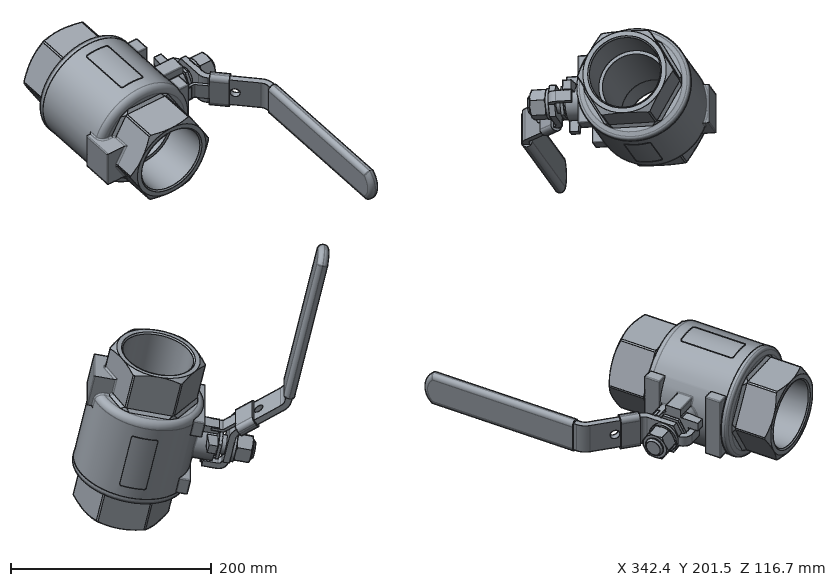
import math

import cadquery as cq


overall_length = 342.4
valve_length = 185.0
half_length = valve_length / 2
hex_flats = 85.0
hex_corner_diameter = 97.0
hex_face_diameter = 85.0
hex_chamfer_angle = 30.0
flare_length = 3.0
flare_diameter = 99.5
body_radius = 57.7
rim_radius = 116.0 / 2
body_left = -52.3
body_right = 46.9
rim_right = -44.5
rim_face_radius = 50.4
rim_fillet = 3.0
rim_fillet_start = -51.2
body_right_fillet = 7.6
bore_diameter = 65.0
socket_diameter = 72.22
socket_depth = 47.0
socket_chamfer = 1.5

overall_height = 116.74
plate_length = 60.0
plate_width = 27.0
plate_center_x = -2.5
plate_corner_radius = 2.0
plate_embedding = 1.0

pad_edge_radius = 1.0
foot_root_radius = 1.8
collar_root_radius = 1.0
root_margin = 2.0
lug_inner_x = 26.0
lug_outer_x = 43.6
lug_half_width = 35.0
lug_depth = 12.0
foot_face_y = -60.0
foot_root_y = -37.0
foot_left = 31.0
foot_right = 66.2
foot_half_width = 20.0

collar_diameter = 36.0
collar_top = 76.7
collar_root = 40.0
rib_half_width = 8.5
rib_reach = 24.6
rib_root_y = 52.0
stop_reach = 28.5
stop_inner = 5.6
stop_outer = 15.1
stop_tip_height = 8.7
stop_root_height = 11.7
keeper_left = 16.0
keeper_right = 23.5
keeper_half_width = 8.0
keeper_bottom = 54.0

seal_diameter = 25.0
seal_top = 79.2
lock_plate_flats = 30.0
lock_plate_top = 82.4
stem_diameter = 20.0
stem_top = 117.0
stem_chamfer = 2.0
washer_diameter = 31.0
washer_top = 97.5
nut_flats = 26.5
nut_top = 113.7
nut_chamfer_angle = 30.0

lever_thickness = 6.5
lever_half_width = 16.3
lever_low_y = 90.75
lever_high_y = 136.0
lever_leg_x = -22.6
lever_leg_bottom = 68.9
lever_leg_half_width = 5.6
lever_neck_x = -16.0
lever_shoulder_x = -10.2
lever_rise_start_x = 24.0
lever_rise = lever_high_y - lever_low_y
lever_rise_end_x = lever_rise_start_x + lever_rise
lever_leg_bend = 6.5
lever_low_bend = 10.0
lever_high_bend = 14.0
lever_hole_diameter = 10.0
lever_hole_y = 113.5

strip_thickness = 3.0
strip_half_width = 8.5
strip_x = 21.0
strip_bottom = 68.8
strip_bend = 3.0
sleeve_length = 20.0
sleeve_width = 38.6
sleeve_thickness = 12.6
sleeve_edge_radius = 5.3
sleeve_center_y = 102.4

grip_start_x = 78.8
grip_end_x = overall_length - half_length
grip_thickness = 11.0
grip_top_y = lever_high_y + grip_thickness / 2
grip_width = 37.4
grip_shoulder_x = 240.6
grip_edge_radius = 5.4


def stem_plane(y):
    """Plane across the stem axis at height y, with local x along X."""
    return cq.Workplane(cq.Plane((0, y, 0), (1, 0, 0), (0, 1, 0)))


def stem_disc(diameter, bottom, top):
    return stem_plane(bottom).circle(diameter / 2).extrude(top - bottom)


def box_between(x0, x1, y0, y1, z0, z1):
    return cq.Workplane("XY").box(x1 - x0, y1 - y0, z1 - z0, centered=False).translate((x0, y0, z0))


def hex_corner_size(flats):
    return flats / math.cos(math.pi / 6)


def turned(points):
    """Solid of revolution about X from (x, radius) points."""
    return cq.Workplane("XY").polyline(points).close().revolve(360, (0, 0, 0), (1, 0, 0))


def pipe_end(shoulder_x):
    """Hexagonal end built along +X, starting from the body shoulder."""
    blank = (
        cq.Workplane("YZ")
        .polygon(6, hex_corner_size(hex_flats))
        .extrude(half_length)
    )
    corner_radius = hex_corner_diameter / 2
    face_radius = hex_face_diameter / 2
    chamfer_length = (corner_radius - face_radius) * math.tan(math.radians(hex_chamfer_angle))
    envelope = turned([
        (0, 0),
        (0, corner_radius),
        (half_length - chamfer_length, corner_radius),
        (half_length, face_radius),
        (half_length, 0),
    ])
    flare_flats = hex_flats + 2 * flare_length
    flare = (
        cq.Workplane("YZ", origin=(shoulder_x, 0, 0))
        .polygon(6, hex_corner_size(flare_flats))
        .extrude(flare_length, taper=45)
    )
    flare_limit = turned([
        (shoulder_x, 0),
        (shoulder_x, flare_diameter / 2),
        (shoulder_x + flare_length, hex_corner_diameter / 2),
        (shoulder_x + flare_length, 0),
    ])
    return blank.intersect(envelope).union(flare.intersect(flare_limit))


def body():
    fillet_start = body_right - body_right_fillet
    fillet_middle = body_right_fillet * math.sqrt(0.5)
    barrel = (
        cq.Workplane("XY")
        .moveTo(body_left, 0)
        .lineTo(body_left, rim_face_radius)
        .lineTo(rim_fillet_start, rim_radius - rim_fillet)
        .threePointArc(
            (rim_fillet_start + rim_fillet - rim_fillet * math.sqrt(0.5),
             rim_radius - rim_fillet + rim_fillet * math.sqrt(0.5)),
            (rim_fillet_start + rim_fillet, rim_radius),
        )
        .lineTo(rim_right, rim_radius)
        .lineTo(rim_right, body_radius)
        .lineTo(fillet_start, body_radius)
        .threePointArc(
            (fillet_start + fillet_middle, body_radius - body_right_fillet + fillet_middle),
            (body_right, body_radius - body_right_fillet),
        )
        .lineTo(body_right, 0)
        .close()
        .revolve(360, (0, 0, 0), (1, 0, 0))
    )
    left_end = pipe_end(-body_left).mirror("YZ")
    return barrel.union(pipe_end(body_right)).union(left_end)


def name_plates():
    blank = (
        cq.Workplane("XY")
        .center(plate_center_x, 0)
        .rect(plate_length, plate_width)
        .extrude(overall_height, both=True)
        .edges("|Z")
        .fillet(plate_corner_radius)
    )
    ring = (
        cq.Workplane("YZ")
        .circle(overall_height / 2)
        .circle(body_radius - plate_embedding)
        .extrude(half_length, both=True)
    )
    return blank.intersect(ring)


def mounting_lugs():
    lug = box_between(
        lug_inner_x, lug_outer_x, rim_radius - lug_depth, rim_radius, -lug_half_width, lug_half_width
    )
    lug = lug.edges("<Z or >Z or |Z").fillet(pad_edge_radius)
    return lug.union(lug.mirror("YZ"))


def round_roots(solid, low_corner, high_corner, radius):
    """Fillet the edges that lie wholly inside a box around a pad's root."""
    selector = cq.selectors.BoxSelector(low_corner, high_corner, boundingbox=True)
    return solid.edges(selector).fillet(radius)


def foot():
    block = box_between(
        foot_left, foot_right, foot_face_y, foot_root_y, -foot_half_width, foot_half_width
    )
    return block.faces("<Y").edges().fillet(pad_edge_radius)


def add_foot(solid):
    face_clearance = 1.5 * pad_edge_radius
    return round_roots(
        solid.union(foot()),
        (foot_left - root_margin, foot_face_y + face_clearance, -foot_half_width - root_margin),
        (foot_right + root_margin, foot_root_y + root_margin, foot_half_width + root_margin),
        foot_root_radius,
    )


def lever_stop():
    """Finger along -X that limits the lever leg."""
    return (
        cq.Workplane("XY", origin=(0, 0, stop_inner))
        .polyline([
            (0, collar_top),
            (-stop_reach, collar_top),
            (-stop_reach, collar_top - stop_tip_height),
            (0, collar_top - stop_root_height),
        ])
        .close()
        .extrude(stop_outer - stop_inner)
    )


def collar():
    neck = stem_disc(collar_diameter, collar_root, collar_top)
    rib = box_between(-rib_half_width, rib_half_width, rib_root_y, collar_top, 0, rib_reach)
    rib = rib.faces(">Z").edges("not >Y").fillet(pad_edge_radius)
    closed_stop = lever_stop().mirror("XY").rotate((0, 0, 0), (0, 1, 0), -90)
    keeper = box_between(
        keeper_left, keeper_right, keeper_bottom, collar_top, -keeper_half_width, keeper_half_width
    )
    return neck.union(rib).union(lever_stop()).union(closed_stop).union(keeper)


def add_collar(solid):
    return round_roots(
        solid.union(collar()),
        (-collar_diameter / 2 - root_margin, collar_root, -rib_reach - root_margin),
        (keeper_right + root_margin, rim_radius, rib_reach + root_margin),
        collar_root_radius,
    )


def nut():
    corner_size = hex_corner_size(nut_flats)
    height = nut_top - washer_top
    blank = stem_plane(washer_top).polygon(6, corner_size).extrude(height)
    chamfer_radius = (corner_size - nut_flats) / 2
    chamfer_height = chamfer_radius * math.tan(math.radians(nut_chamfer_angle))
    envelope = (
        stem_disc(corner_size, washer_top, nut_top)
        .faces("<Y or >Y")
        .chamfer(chamfer_height, chamfer_radius)
    )
    return blank.intersect(envelope)


def stem():
    shaft = stem_disc(stem_diameter, collar_top, stem_top).faces(">Y").chamfer(stem_chamfer)
    seal = stem_disc(seal_diameter, collar_top, seal_top)
    lock_plate = (
        stem_plane(seal_top)
        .polygon(6, hex_corner_size(lock_plate_flats))
        .extrude(lock_plate_top - seal_top)
    )
    washer = stem_disc(washer_diameter, lever_low_y, washer_top)
    return shaft.union(seal).union(lock_plate).union(washer).union(nut())


def toward(start, end, distance):
    """Point at the given distance from start on the line to end."""
    ratio = distance / math.dist(start, end)
    return (start[0] + ratio * (end[0] - start[0]), start[1] + ratio * (end[1] - start[1]))


def bent_strip(corners, bend_radii, thickness, half_width):
    """Flat strip following rounded corners in the XY plane; the first leg runs along Y."""
    path = cq.Workplane("XY").moveTo(*corners[0])
    for i, radius in enumerate(bend_radii, start=1):
        before, corner, after = corners[i - 1:i + 2]
        heading_in = math.atan2(corner[1] - before[1], corner[0] - before[0])
        heading_out = math.atan2(after[1] - corner[1], after[0] - corner[0])
        setback = radius * math.tan(abs(heading_out - heading_in) / 2)
        path = path.lineTo(*toward(corner, before, setback))
        path = path.tangentArcPoint(toward(corner, after, setback), relative=False)
    path = path.lineTo(*corners[-1])
    start_x, start_y = corners[0]
    section = stem_plane(start_y).center(start_x, 0).rect(thickness, 2 * half_width)
    return section.sweep(path)


def on_slope(y):
    """Point of the lever's sloping centre line at height y; the slope is 45 degrees."""
    return (lever_rise_start_x + y - lever_low_y, y)


def slope_plane(y):
    """Plane across the sloping lever, with local x along Z."""
    x_position = on_slope(y)[0]
    return cq.Workplane(cq.Plane((x_position, y, 0), (0, 0, 1), (1, 1, 0)))


def lever():
    strip = bent_strip(
        [
            (lever_leg_x, lever_leg_bottom),
            (lever_leg_x, lever_low_y),
            (lever_rise_start_x, lever_low_y),
            (lever_rise_end_x, lever_high_y),
            (grip_start_x + grip_thickness, lever_high_y),
        ],
        [lever_leg_bend, lever_low_bend, lever_high_bend],
        lever_thickness,
        lever_half_width,
    )
    leg_end = lever_leg_x - lever_thickness
    planform = (
        stem_plane(0)
        .polyline([
            (leg_end, -lever_leg_half_width),
            (lever_neck_x, -lever_leg_half_width),
            (lever_shoulder_x, -lever_half_width),
            (grip_end_x, -lever_half_width),
            (grip_end_x, lever_half_width),
            (lever_shoulder_x, lever_half_width),
            (lever_neck_x, lever_leg_half_width),
            (leg_end, lever_leg_half_width),
        ])
        .close()
        .extrude(grip_top_y)
    )
    hole_x, hole_y = on_slope(lever_hole_y)
    hole_plane = cq.Plane((hole_x, hole_y, 0), (0, 0, 1), (1, -1, 0))
    hole = cq.Workplane(hole_plane).circle(lever_hole_diameter / 2).extrude(lever_thickness, both=True)
    return strip.intersect(planform).cut(hole)


def locking_strip():
    """Thin strip lying under the sloping lever and dropping into the keeper."""
    under_lever = (lever_thickness + strip_thickness) / 2 * math.sqrt(2)
    bend_y = strip_x - under_lever - lever_rise_start_x + lever_low_y
    upper_end = (strip_x + sleeve_center_y - bend_y, sleeve_center_y)
    strip = bent_strip(
        [(strip_x, strip_bottom), (strip_x, bend_y), upper_end],
        [strip_bend],
        strip_thickness,
        strip_half_width,
    )
    sleeve = (
        slope_plane(sleeve_center_y)
        .rect(sleeve_width, sleeve_thickness)
        .extrude(sleeve_length / 2, both=True)
        .edges(cq.selectors.ParallelDirSelector(cq.Vector(1, 1, 0)))
        .fillet(sleeve_edge_radius)
    )
    return strip.union(sleeve)


def grip():
    half_width = grip_width / 2
    return (
        stem_plane(lever_high_y - grip_thickness / 2)
        .moveTo(grip_start_x, -half_width)
        .lineTo(grip_shoulder_x, -half_width)
        .threePointArc((grip_end_x, 0), (grip_shoulder_x, half_width))
        .lineTo(grip_start_x, half_width)
        .close()
        .extrude(grip_thickness)
        .faces("<Y or >Y")
        .edges("not <X")
        .fillet(grip_edge_radius)
    )


def bore():
    socket_radius = socket_diameter / 2
    end_socket = turned([
        (half_length - socket_depth, 0),
        (half_length - socket_depth, socket_radius),
        (half_length - socket_chamfer, socket_radius),
        (half_length, socket_radius + socket_chamfer),
        (half_length, 0),
    ])
    through = cq.Workplane("YZ").circle(bore_diameter / 2).extrude(half_length, both=True)
    return through.union(end_socket).union(end_socket.mirror("YZ"))


casting = add_collar(add_foot(body()))
casting = casting.union(name_plates()).union(mounting_lugs()).cut(bore())
operating_gear = stem().union(lever()).union(locking_strip()).union(grip())
result = casting.union(operating_gear)